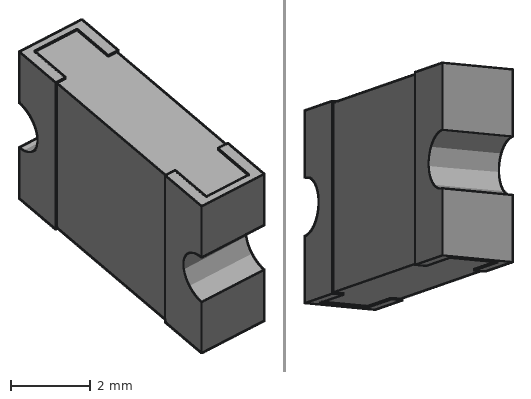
import cadquery as cq

length = 7.5
depth = 2.01
height = 4.96

terminal_length = 1.5
wrap_thickness = 0.04
notch_radius = 0.75

window_end_margin = 0.22
window_side_margin = 0.32

body_depth = depth - 2 * wrap_thickness
body_height = height - 2 * wrap_thickness
window_length = length - 2 * window_end_margin
window_depth = depth - 2 * window_side_margin


def make_body():
    return cq.Workplane("XY").box(length, body_depth, body_height)


def make_terminal(side):
    """Solid end block; side is -1 or +1 along X."""
    center_x = side * (length - terminal_length) / 2
    return cq.Workplane("XY").box(terminal_length, depth, height).translate((center_x, 0, 0))


def make_window(side):
    """Shallow recess down to the body; side is -1 or +1 along Z."""
    center_z = side * (height - wrap_thickness) / 2
    return cq.Workplane("XY").box(window_length, window_depth, wrap_thickness).translate((0, 0, center_z))


def make_notch(side):
    """Cylinder along Y for the half-round notch in one end face."""
    return (
        cq.Workplane("XZ")
        .center(side * length / 2, 0)
        .circle(notch_radius)
        .extrude(depth / 2, both=True)
    )


result = make_body()
for side in (-1, 1):
    result = result.union(make_terminal(side))
for side in (-1, 1):
    result = result.cut(make_window(side)).cut(make_notch(side))